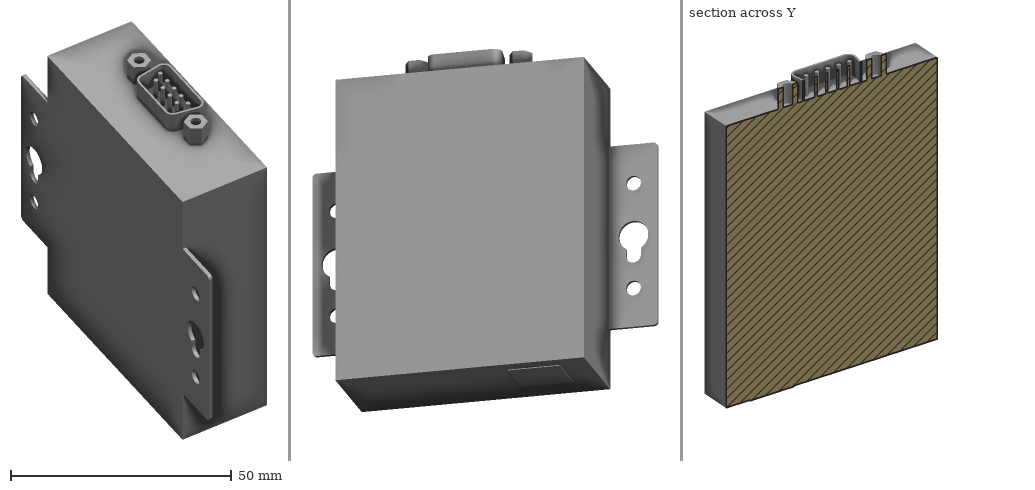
import cadquery as cq
import math


box_width = 58.5
box_depth = 22.5
box_height = 72.3

overall_width = 81.25
flange_height = 43.9
flange_thickness = 0.95
flange_corner_radius = 1.0
flange_bottom_z = 14.15
flange_mid_z = flange_bottom_z + flange_height / 2

mount_hole_diameter = 3.5
mount_hole_spacing_x = 69.9
mount_hole_spacing_z = 25.25
keyhole_head_diameter = 7.0
keyhole_slot_drop = 4.75

connector_height = 5.2
connector_mid_x = 0.15

shell_top_width = 17.4
shell_depth = 9.4
shell_mid_y = 14.4
shell_corner_radius = 2.0
shell_side_angle = 9.5
shell_wall = 0.5

pin_diameter = 1.0
pin_pitch = 3.0
back_row_pins = 5
back_row_y = 15.7
front_row_pins = 4
front_row_y = 13.6

jack_spacing = 24.5
jack_y = 13.9
jack_across_flats = 4.75
jack_hole_diameter = 2.45

socket_width = 12.2
socket_depth = 11.6
socket_height = 0.2
socket_mid_x = -16.5
socket_mid_y = 13.25


def make_box():
    return cq.Workplane("XY").box(box_width, box_depth, box_height, centered=(True, False, False))


def make_flange_plate():
    plate = cq.Workplane("XY").box(
        overall_width, flange_thickness, flange_height, centered=(True, False, True)
    )
    plate = plate.edges("|Y").fillet(flange_corner_radius)
    return plate.translate((0, 0, flange_mid_z))


def flange_cutter(outline):
    """Extrude an outline drawn on XZ right through the flange."""
    return outline.extrude(-flange_thickness)


def make_mount_holes():
    centers = [
        (side * mount_hole_spacing_x / 2, flange_mid_z + end * mount_hole_spacing_z / 2)
        for side in (-1, 1)
        for end in (-1, 1)
    ]
    return flange_cutter(cq.Workplane("XZ").pushPoints(centers).circle(mount_hole_diameter / 2))


def make_keyhole(center_x):
    plane = cq.Workplane("XZ").center(center_x, flange_mid_z)
    head = flange_cutter(plane.circle(keyhole_head_diameter / 2))
    slot_mid = plane.center(0, -keyhole_slot_drop / 2)
    slot_length = keyhole_slot_drop + mount_hole_diameter
    slot = flange_cutter(slot_mid.slot2D(slot_length, mount_hole_diameter, 90))
    return head.union(slot)


def make_d_prism(inset):
    """D-shaped prism on top of the box, its outline moved inward by inset."""
    radius = shell_corner_radius - inset
    half_depth = shell_depth / 2 - inset
    angle = math.radians(shell_side_angle)
    corner_overhang = radius * (math.tan(math.radians(45 + shell_side_angle / 2)) - 1)
    back_half_width = shell_top_width / 2 - inset + corner_overhang
    front_half_width = back_half_width - 2 * half_depth * math.tan(angle)
    outline = [
        (-back_half_width, half_depth),
        (back_half_width, half_depth),
        (front_half_width, -half_depth),
        (-front_half_width, -half_depth),
    ]
    prism = cq.Workplane("XY").polyline(outline).close().extrude(connector_height)
    return prism.edges("|Z").fillet(radius).translate((connector_mid_x, shell_mid_y, box_height))


def make_shell():
    return make_d_prism(0).cut(make_d_prism(shell_wall))


def make_pin_row(count, row_y):
    first_x = connector_mid_x - pin_pitch * (count - 1) / 2
    centers = [(first_x + i * pin_pitch, row_y) for i in range(count)]
    plane = cq.Workplane("XY").workplane(offset=box_height)
    return plane.pushPoints(centers).circle(pin_diameter / 2).extrude(connector_height)


def make_jack_posts():
    centers = [(connector_mid_x + side * jack_spacing / 2, jack_y) for side in (-1, 1)]
    across_corners = jack_across_flats / math.cos(math.pi / 6)
    plane = cq.Workplane("XY").workplane(offset=box_height).pushPoints(centers)
    posts = plane.polygon(6, across_corners).extrude(connector_height)
    holes = plane.circle(jack_hole_diameter / 2).extrude(connector_height)
    return posts.cut(holes)


def make_socket_face():
    plane = cq.Workplane("XY").center(socket_mid_x, socket_mid_y)
    return plane.rect(socket_width, socket_depth).extrude(-socket_height)


result = make_box().union(make_flange_plate())
result = result.cut(make_mount_holes())
for side in (-1, 1):
    result = result.cut(make_keyhole(side * mount_hole_spacing_x / 2))
result = result.union(make_shell())
result = result.union(make_pin_row(back_row_pins, back_row_y))
result = result.union(make_pin_row(front_row_pins, front_row_y))
result = result.union(make_jack_posts())
result = result.union(make_socket_face())